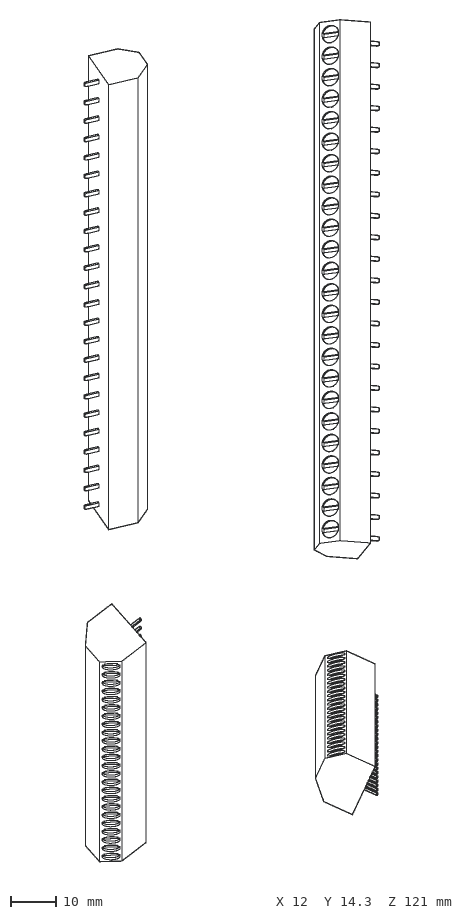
import cadquery as cq
import math

length = 121.0
width = 12.0
total_depth = 14.3
pin_length = 3.4
body_depth = total_depth - pin_length

screw_slope_width = 3.0
screw_slope_depth = 3.9
plain_slope_width = 4.0
plain_slope_depth = 3.9

pole_count = 24
pole_pitch = 5.0
first_pole_height = -(pole_count - 1) * pole_pitch / 2
pole_heights = [first_pole_height + i * pole_pitch for i in range(pole_count)]

pin_width = 0.5
pin_height = 1.0
pin_tip_chamfer_height = 0.1
pin_tip_chamfer_length = 0.4

recess_diameter = 4.0
recess_depth = 0.5
recess_shift = 0.1
slot_width = 1.0
slot_depth = 0.6

half_width = width / 2


def make_body():
    """Long block with a six-sided section, pin face on the plane Y = 0."""
    section = [
        (-half_width, 0),
        (half_width, 0),
        (half_width, body_depth - plain_slope_depth),
        (half_width - plain_slope_width, body_depth),
        (-half_width + screw_slope_width, body_depth),
        (-half_width, body_depth - screw_slope_depth),
    ]
    return cq.Workplane("XY").workplane(offset=-length / 2).polyline(section).close().extrude(length)


def make_pin(height):
    """Flat pin with its tip tapered at the top and bottom, rooted in the pin face."""
    half_height = pin_height / 2
    tip_half_height = half_height - pin_tip_chamfer_height
    shoulder = -pin_length + pin_tip_chamfer_length
    profile = [
        (0, height - half_height),
        (shoulder, height - half_height),
        (-pin_length, height - tip_half_height),
        (-pin_length, height + tip_half_height),
        (shoulder, height + half_height),
        (0, height + half_height),
    ]
    return cq.Workplane("YZ").polyline(profile).close().extrude(pin_width / 2, both=True)


def make_screw_recesses():
    """Round recesses square to the screw slope, each with a driver slot in its floor."""
    slope_length = math.hypot(screw_slope_width, screw_slope_depth)
    slope_plane = cq.Plane(
        origin=(-half_width + screw_slope_width / 2, body_depth - screw_slope_depth / 2, 0),
        xDir=(0, 0, 1),
        normal=(-screw_slope_depth / slope_length, screw_slope_width / slope_length, 0),
    )
    centres = [(height, -recess_shift) for height in pole_heights]
    sketch = cq.Workplane(slope_plane).pushPoints(centres)
    recess_radius = recess_diameter / 2
    floor_depth = recess_depth + slot_depth
    recesses = sketch.circle(recess_radius).extrude(-recess_depth)
    slots = sketch.rect(slot_width, recess_diameter).extrude(-floor_depth)
    slot_limits = sketch.circle(recess_radius).extrude(-floor_depth)
    return recesses.union(slots.intersect(slot_limits))


result = make_body().cut(make_screw_recesses())
for pole_height in pole_heights:
    result = result.union(make_pin(pole_height))